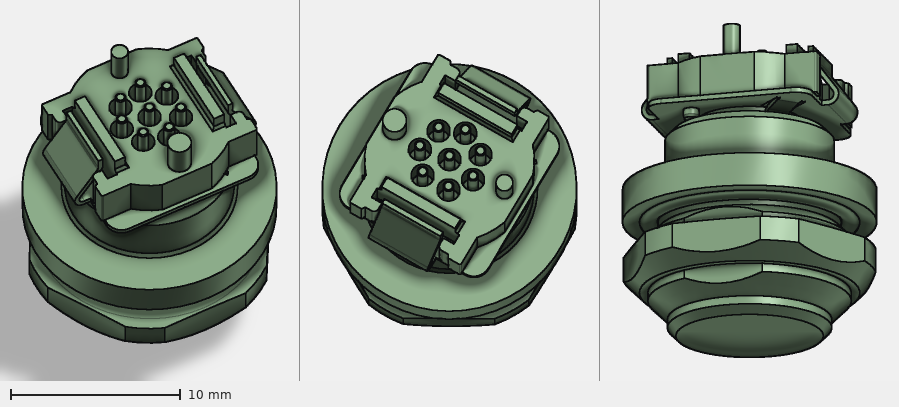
import cadquery as cq
import math

tip_chamfer_radius = 4.35
tip_radius = 4.85
tip_chamfer_top = 0.5
tip_top = 1.0
thread_radius = 6.0
thread_flat_distance = 5.5
undercut_radius = 5.4
thread_cone_top = 6.45
flange_bottom = 7.0
flange_top = 9.0
flange_radius = 7.5
barrel_radius = 5.0
barrel_root_chamfer = 0.2
barrel_top = 12.5
barrel_chamfer = 0.5
neck_radius = 3.1

seal_outer_radius = 6.53
seal_bottom = 6.62

nut_bottom = 2.65
nut_rim_height = 5.1
nut_top = 5.15
nut_radius = 7.5
nut_across_flats = 14.0
nut_chamfer = 1.0
nut_face_radius = 6.8

plate_size = 10.0
plate_corner_radius = 1.0
plate_bottom = 13.2
plate_top = 13.5
sheet = plate_top - plate_bottom

tab_width = 1.44
tab_side_gap = 0.23
tab_hinge_distance = 4.72
tab_gap_end = 5.08
tab_slope = math.radians(15)
tab_end_distance = 3.16
tab_bend_radius = 0.6
tab_angles = (45, 225)

pad_radius = 0.46
pad_tip_radius = 0.41
pad_shoulder = 12.84
pad_bottom = 12.65
pad_x = 3.29
pad_y = 2.62

block_top = 16.0
block_height = block_top - plate_top
block_half_width = 4.72
block_arc_radius = 5.0
ear_half_width = 3.79
ear_half_length = 5.2
ear_corner_radius = 0.1
end_step_y = 5.0
end_step_half_width = 2.83
end_step_chamfer = 0.14
notch_half_width = 2.1
notch_corner_radius = 0.3
slot_half_width = 2.8
slot_inner_y = 3.65
slot_outer_y = 4.29

bar_half_width = 2.51
bar_inner_y = 2.97
bar_top = 16.95
bar_flare = 0.18

clip_half_width = 2.0
clip_top = 16.9
clip_leg_inner_y = 4.18
clip_bend_y = 5.4
clip_bend_radius = 0.65
clip_lean = math.radians(37)
clip_knee_radius = 0.27

peg_offset = 3.75
peg_top = 18.0
small_peg_radius = 0.5
large_peg_radius = 0.7

ring_contacts = 7
contact_pitch = math.radians(50.5)
contact_ring_radius = 1.85
contact_well_radius = 0.67
contact_radius = 0.31
contact_chamfer = 0.07
contact_top = 17.02


def disc(radius, bottom, top):
    return cq.Workplane("XY").workplane(offset=bottom).circle(radius).extrude(top - bottom)


def box(x_min, x_max, y_min, y_max, z_min, z_max):
    size = (x_max - x_min, y_max - y_min, z_max - z_min)
    return cq.Workplane("XY").box(*size, centered=False).translate((x_min, y_min, z_min))


def revolve_outline(points):
    return cq.Workplane("XZ").polyline(points).close().revolve(360, (0, 0, 0), (0, 1, 0))


def at_both_ends(feature):
    return feature.union(feature.rotate((0, 0, 0), (0, 0, 1), 180))


def make_thread():
    cone_bottom_height = thread_radius - tip_radius
    cone_top_height = thread_radius - undercut_radius
    thread = revolve_outline([
        (0, 0),
        (tip_chamfer_radius, 0),
        (tip_radius, tip_chamfer_top),
        (tip_radius, tip_top),
        (thread_radius, tip_top + cone_bottom_height),
        (thread_radius, thread_cone_top - cone_top_height),
        (undercut_radius, thread_cone_top),
        (undercut_radius, flange_bottom),
        (0, flange_bottom),
    ])
    flats = box(-thread_flat_distance, thread_flat_distance,
                -thread_radius, thread_radius, 0, flange_bottom)
    return thread.intersect(flats)


def make_flange_and_barrel():
    return revolve_outline([
        (0, flange_bottom),
        (flange_radius, flange_bottom),
        (flange_radius, flange_top),
        (barrel_radius + barrel_root_chamfer, flange_top),
        (barrel_radius, flange_top + barrel_root_chamfer),
        (barrel_radius, barrel_top - barrel_chamfer),
        (barrel_radius - barrel_chamfer, barrel_top),
        (neck_radius, barrel_top),
        (neck_radius, plate_top),
        (0, plate_top),
    ])


def make_seal():
    """Round ring seated on the undercut and partly sunk into the flange."""
    section_radius = (seal_outer_radius - undercut_radius) / 2
    ring_radius = undercut_radius + section_radius
    return (
        cq.Workplane("XZ")
        .center(ring_radius, seal_bottom + section_radius)
        .circle(section_radius)
        .revolve(360, (-ring_radius, 0, 0), (-ring_radius, 1, 0))
    )


def make_nut():
    blank = revolve_outline([
        (0, nut_bottom),
        (nut_radius - nut_chamfer, nut_bottom),
        (nut_radius, nut_bottom + nut_chamfer),
        (nut_radius, nut_rim_height),
        (nut_face_radius, nut_top),
        (0, nut_top),
    ])
    across_corners = nut_across_flats / math.cos(math.pi / 6)
    hexagon = (
        cq.Workplane("XY")
        .polygon(6, across_corners)
        .extrude(nut_top)
        .rotate((0, 0, 0), (0, 0, 1), 30)
    )
    bore = disc(thread_radius, nut_bottom, nut_top)
    return blank.intersect(hexagon).cut(bore)


def make_tab():
    """Sheet tab in the XZ plane: hinged at its outer edge, sloping inward, then bent straight down."""
    cos_slope = math.cos(tab_slope)
    sin_slope = math.sin(tab_slope)
    inner_radius = tab_bend_radius - sheet
    bend_x = tab_end_distance + tab_bend_radius
    slope_top_at_bend = plate_top - (tab_hinge_distance - bend_x) * math.tan(tab_slope)
    bend_z = slope_top_at_bend - tab_bend_radius / cos_slope
    middle = (math.pi + math.pi / 2 + tab_slope) / 2

    def on_bend(radius, angle):
        return (bend_x + radius * math.cos(angle), bend_z + radius * math.sin(angle))

    slope_angle = math.pi / 2 + tab_slope
    hinge_under = (tab_hinge_distance + sheet * sin_slope, plate_top - sheet * cos_slope)
    return (
        cq.Workplane("XZ")
        .moveTo(tab_hinge_distance, plate_top)
        .lineTo(*on_bend(tab_bend_radius, slope_angle))
        .threePointArc(on_bend(tab_bend_radius, middle), on_bend(tab_bend_radius, math.pi))
        .lineTo(tab_end_distance, barrel_top)
        .lineTo(tab_end_distance + sheet, barrel_top)
        .lineTo(*on_bend(inner_radius, math.pi))
        .threePointArc(on_bend(inner_radius, middle), on_bend(inner_radius, slope_angle))
        .lineTo(*hinge_under)
        .close()
        .extrude(tab_width / 2, both=True)
    )


def make_plate():
    plate = (
        cq.Workplane("XY")
        .workplane(offset=plate_bottom)
        .rect(plate_size, plate_size)
        .extrude(sheet)
        .edges("|Z")
        .fillet(plate_corner_radius)
    )
    half_tab = tab_width / 2
    half_window = half_tab + tab_side_gap
    window = box(tab_end_distance, tab_gap_end, -half_window, half_window, plate_bottom, plate_top)
    hinge = box(tab_hinge_distance, tab_gap_end, -half_tab, half_tab, plate_bottom, plate_top)
    window = window.cut(hinge)
    tab = make_tab()
    for angle in tab_angles:
        plate = plate.cut(window.rotate((0, 0, 0), (0, 0, 1), angle))
        plate = plate.union(tab.rotate((0, 0, 0), (0, 0, 1), angle))
    return plate


def make_pads():
    pad = revolve_outline([
        (0, pad_bottom),
        (pad_tip_radius, pad_bottom),
        (pad_radius, pad_shoulder),
        (pad_radius, plate_bottom),
        (0, plate_bottom),
    ])
    return at_both_ends(pad.translate((pad_x, -pad_y, 0)))


def make_insulator():
    center = disc(block_arc_radius, plate_top, block_top).intersect(
        box(-block_half_width, block_half_width, -ear_half_length, ear_half_length, plate_top, block_top)
    )
    ears = (
        box(-ear_half_width, ear_half_width, -ear_half_length, ear_half_length, plate_top, block_top)
        .edges("|Z")
        .fillet(ear_corner_radius)
    )
    end_step = (
        cq.Workplane("XY")
        .workplane(offset=plate_top)
        .polyline([
            (-end_step_half_width, end_step_y),
            (end_step_half_width, end_step_y),
            (end_step_half_width + end_step_chamfer, ear_half_length),
            (-end_step_half_width - end_step_chamfer, ear_half_length),
        ])
        .close()
        .extrude(block_height)
    )
    notch = box(-notch_half_width, notch_half_width, slot_inner_y, ear_half_length, plate_top, block_top)
    slot = box(-slot_half_width, slot_half_width, slot_inner_y, slot_outer_y, plate_top, block_top)
    insulator = center.union(ears).cut(at_both_ends(end_step.union(notch).union(slot)))
    for x in (-notch_half_width, notch_half_width):
        for y in (-end_step_y, end_step_y):
            corner = cq.selectors.NearestToPointSelector((x, y, plate_top + block_height / 2))
            insulator = insulator.edges("|Z").edges(corner).fillet(notch_corner_radius)
    return insulator


def make_bars():
    """Raised bars beside the slots, flared at the foot on their inner side and both ends."""
    bar = box(-bar_half_width, bar_half_width, bar_inner_y, slot_inner_y, block_top, bar_top)
    foot_half_width = bar_half_width + bar_flare
    foot_depth = slot_inner_y - bar_inner_y + bar_flare
    flare = (
        cq.Workplane("XY")
        .workplane(offset=block_top)
        .center(0, slot_inner_y)
        .rect(2 * foot_half_width, 2 * foot_depth)
        .workplane(offset=bar_flare)
        .rect(2 * bar_half_width, 2 * (slot_inner_y - bar_inner_y))
        .loft(ruled=True)
    )
    inner_side = box(-foot_half_width, foot_half_width, 0, slot_inner_y, block_top, bar_top)
    return at_both_ends(bar.union(flare.intersect(inner_side)))


def make_clips():
    """Sheet tongues folded back up over a bend, leaning inward and ending in an upright leg."""
    outer_radius = clip_bend_radius
    inner_radius = clip_bend_radius - sheet
    bend_z = plate_bottom + clip_bend_radius
    middle = (clip_lean - math.pi / 2) / 2
    leg_outer_y = clip_leg_inner_y + sheet

    def on_bend(radius, angle):
        return (clip_bend_y + radius * math.cos(angle), bend_z + radius * math.sin(angle))

    def lean_height(radius, leg_y):
        tangent_y, tangent_z = on_bend(radius, clip_lean)
        return tangent_z + (tangent_y - leg_y) / math.tan(clip_lean)

    tongue_start = plate_size / 2
    clip = (
        cq.Workplane("YZ")
        .moveTo(tongue_start, plate_bottom)
        .lineTo(clip_bend_y, plate_bottom)
        .threePointArc(on_bend(outer_radius, middle), on_bend(outer_radius, clip_lean))
        .lineTo(leg_outer_y, lean_height(outer_radius, leg_outer_y))
        .lineTo(leg_outer_y, clip_top)
        .lineTo(clip_leg_inner_y, clip_top)
        .lineTo(clip_leg_inner_y, lean_height(inner_radius, clip_leg_inner_y))
        .lineTo(*on_bend(inner_radius, clip_lean))
        .threePointArc(on_bend(inner_radius, middle), (clip_bend_y, plate_top))
        .lineTo(tongue_start, plate_top)
        .close()
        .extrude(clip_half_width, both=True)
    )
    outer_knee = (0, leg_outer_y, lean_height(outer_radius, leg_outer_y))
    inner_knee = (0, clip_leg_inner_y, lean_height(inner_radius, clip_leg_inner_y))
    clip = clip.edges(cq.selectors.NearestToPointSelector(outer_knee)).fillet(clip_knee_radius)
    clip = clip.edges(cq.selectors.NearestToPointSelector(inner_knee)).fillet(clip_knee_radius + sheet)
    return at_both_ends(clip)


def make_pegs():
    small_peg = disc(small_peg_radius, block_top, peg_top).translate((-peg_offset, 0, 0))
    large_peg = disc(large_peg_radius, block_top, peg_top).translate((peg_offset, 0, 0))
    return small_peg.union(large_peg)


def contact_positions():
    positions = [(0, 0)]
    middle_index = ring_contacts // 2
    for index in range(ring_contacts):
        angle = -math.pi / 2 + (index - middle_index) * contact_pitch
        positions.append((contact_ring_radius * math.cos(angle), contact_ring_radius * math.sin(angle)))
    return positions


def add_contacts(part):
    """Round wells down to the plate level, each with a contact pin standing in its middle."""
    well = disc(contact_well_radius, plate_top, block_top)
    pin = disc(contact_radius, plate_top, contact_top).faces(">Z").chamfer(contact_chamfer)
    for x, y in contact_positions():
        part = part.cut(well.translate((x, y, 0)))
        part = part.union(pin.translate((x, y, 0)))
    return part


result = make_thread().union(make_flange_and_barrel())
result = result.union(make_seal())
result = result.union(make_nut())
result = result.union(make_plate())
result = result.union(make_pads())
result = result.union(make_insulator())
result = result.union(make_bars())
result = result.union(make_clips())
result = result.union(make_pegs())
result = add_contacts(result)